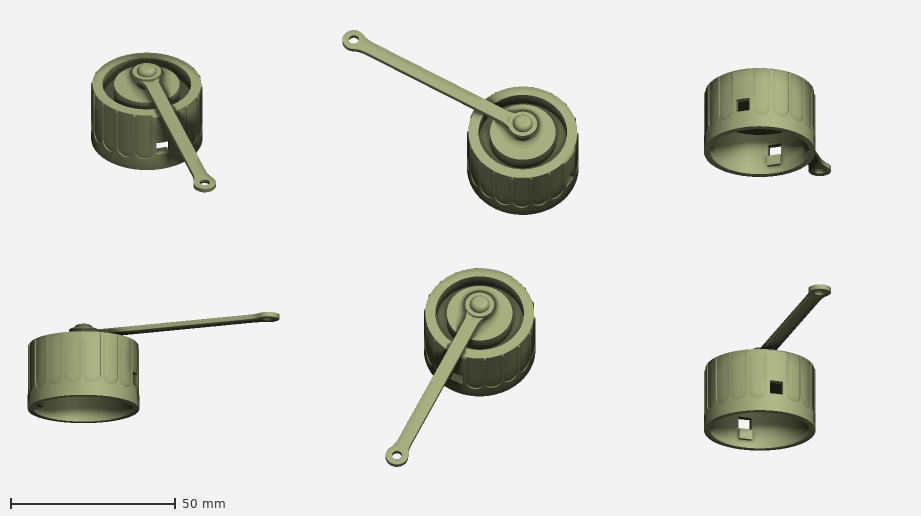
import cadquery as cq
import math

cap_radius = 34.0 / 2
cap_height = 20.1
bore_radius = 30.2 / 2
wall_thickness = cap_radius - bore_radius
recess_radius = 27.0 / 2
recess_depth = 4.8
recess_floor = cap_height - recess_depth
bore_ceiling = recess_floor - wall_thickness
hub_radius = 20.0 / 2
rim_bevel_width = 0.5
rim_bevel_height = 0.65

window_size = 4.2
window_bottom = 5.6

lug_inner_x = 13.85
lug_height = 3.2

flute_positions = 18
flute_depth = 0.4
flute_half_width = 2.65
flute_bottom = 4.0

rivet_radius = 6.0 / 2
rivet_top = 26.4
rivet_edge_radius = 1.5
washer_radius = 8.8 / 2
washer_thickness = 0.7

strap_thickness = 1.5
strap_bottom = 22.5
strap_top = strap_bottom + strap_thickness
strap_half_width = 4.3 / 2
strap_edge_radius = 0.2
rivet_eye_radius = 4.1
end_eye_radius = 3.5
eye_blend_radius = 8.45
end_hole_radius = 3.0 / 2
overall_length = 80.5
end_eye_x = overall_length - cap_radius - end_eye_radius


def cylinder(radius, bottom, top):
    return cq.Workplane("XY").workplane(offset=bottom).circle(radius).extrude(top - bottom)


def make_flute_cutter():
    """Round-ended pocket at +X, reaching from the flute floor out past the wall."""
    floor_radius = cap_radius - flute_depth
    arc_center = flute_bottom + flute_half_width
    outline = (
        cq.Workplane("YZ")
        .moveTo(-flute_half_width, cap_height)
        .lineTo(-flute_half_width, arc_center)
        .threePointArc((0, flute_bottom), (flute_half_width, arc_center))
        .lineTo(flute_half_width, cap_height)
        .close()
        .extrude(2 * cap_radius)
    )
    return outline.cut(cylinder(floor_radius, 0, cap_height))


def make_cap():
    outer_profile = [
        (0, 0),
        (cap_radius, 0),
        (cap_radius, cap_height - rim_bevel_height),
        (cap_radius - rim_bevel_width, cap_height),
        (0, cap_height),
    ]
    cap = cq.Workplane("XZ").polyline(outer_profile).close().revolve(360, (0, 0), (0, 1))

    cap = cap.cut(cylinder(bore_radius, 0, bore_ceiling))

    recess = cylinder(recess_radius, recess_floor, cap_height)
    cap = cap.cut(recess.cut(cylinder(hub_radius, recess_floor, cap_height)))

    windows = cq.Workplane("XY").box(3 * cap_radius, window_size, window_size)
    cap = cap.cut(windows.translate((0, 0, window_bottom + window_size / 2)))

    lug_outer_x = cap_radius - wall_thickness / 2
    lug = cq.Workplane("XY").box(lug_outer_x - lug_inner_x, window_size, lug_height)
    for side in (-1, 1):
        lug_x = side * (lug_inner_x + lug_outer_x) / 2
        cap = cap.union(lug.translate((lug_x, 0, window_bottom - lug_height / 2)))

    flute = make_flute_cutter()
    for position in range(flute_positions):
        at_window = position % (flute_positions // 2) == 0
        if not at_window:
            angle = position * 360 / flute_positions
            cap = cap.cut(flute.rotate((0, 0, 0), (0, 0, 1), angle))
    return cap


def blend_length(eye_radius):
    """Distance along the strap from an eye's centre to the start of its straight edge."""
    return math.sqrt(
        (eye_radius + eye_blend_radius) ** 2 - (strap_half_width + eye_blend_radius) ** 2
    )


def make_eye(center_x, direction, eye_radius):
    """Eye disc with concave blends into a strap that leaves along direction (+1 or -1)."""
    length = blend_length(eye_radius)
    blend_y = strap_half_width + eye_blend_radius
    tangent = eye_radius / (eye_radius + eye_blend_radius)
    neck = (
        cq.Workplane("XY")
        .polyline([
            (0, 0),
            (length * tangent, blend_y * tangent),
            (length, blend_y),
            (length, -blend_y),
            (length * tangent, -blend_y * tangent),
        ])
        .close()
        .extrude(strap_thickness)
    )
    blends = (
        cq.Workplane("XY")
        .pushPoints([(length, blend_y), (length, -blend_y)])
        .circle(eye_blend_radius)
        .extrude(strap_thickness)
    )
    eye = cylinder(eye_radius, 0, strap_thickness).union(neck.cut(blends))
    if direction < 0:
        eye = eye.mirror("YZ")
    return eye.translate((center_x, 0, strap_bottom))


def make_strap():
    start = blend_length(rivet_eye_radius)
    end = end_eye_x - blend_length(end_eye_radius)
    strap = cq.Workplane("XY").box(end - start, 2 * strap_half_width, strap_thickness)
    strap = strap.translate(((start + end) / 2, 0, strap_bottom + strap_thickness / 2))
    strap = strap.union(make_eye(0, 1, rivet_eye_radius))
    strap = strap.union(make_eye(end_eye_x, -1, end_eye_radius))
    end_hole = cylinder(end_hole_radius, strap_bottom, strap_top).translate((end_eye_x, 0, 0))
    strap = strap.clean().cut(end_hole)
    return strap.faces("<Z or >Z").edges().fillet(strap_edge_radius)


def make_rivet():
    shank = cylinder(rivet_radius, cap_height, rivet_top)
    shank = shank.faces(">Z").edges().fillet(rivet_edge_radius)
    washer_top = strap_top + washer_thickness
    return shank.union(cylinder(washer_radius, strap_top, washer_top))


result = make_cap().union(make_rivet()).union(make_strap())